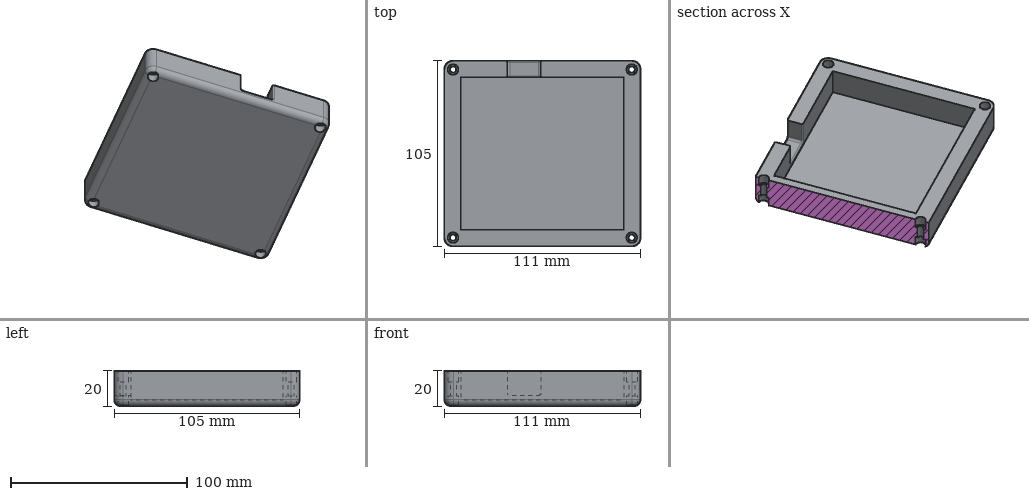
import cadquery as cq

LENGTH = 111.0
WIDTH = 105.0
HEIGHT = 20.0
CORNER_RADIUS = 5.0
BOTTOM_RADIUS = 4.0

CAVITY_LENGTH = 92.0
CAVITY_WIDTH = 86.0
FLOOR_THICKNESS = 3.5

NOTCH_WIDTH = 19.0
NOTCH_CENTER_X = -10.4
NOTCH_FLOOR_Z = 6.3
NOTCH_FLOOR_RADIUS = 1.3
NOTCH_EDGE_RADIUS = 0.9

SELECTION_MARGIN = 0.1

NECK_DIAMETER = 3.4
RECESS_DIAMETER = 6.0
RECESS_DEPTH = 6.0


def make_body():
    body = cq.Workplane("XY").box(LENGTH, WIDTH, HEIGHT, centered=(True, True, False))
    body = body.edges("|Z").fillet(CORNER_RADIUS)
    return body.faces("<Z").edges().fillet(BOTTOM_RADIUS)


def make_cavity():
    depth = HEIGHT - FLOOR_THICKNESS
    cavity = cq.Workplane("XY").box(CAVITY_LENGTH, CAVITY_WIDTH, depth, centered=(True, True, False))
    return cavity.translate((0, 0, FLOOR_THICKNESS))


def make_notch():
    wall_thickness = (WIDTH - CAVITY_WIDTH) / 2
    depth = HEIGHT - NOTCH_FLOOR_Z
    notch = cq.Workplane("XY").box(NOTCH_WIDTH, wall_thickness, depth, centered=(True, True, False))
    notch = notch.edges("|Y and <Z").fillet(NOTCH_FLOOR_RADIUS)
    return notch.translate((NOTCH_CENTER_X, (WIDTH - wall_thickness) / 2, NOTCH_FLOOR_Z))


def make_screw_holes():
    hole_centers = cq.Workplane("XY").rect(
        LENGTH - 2 * CORNER_RADIUS, WIDTH - 2 * CORNER_RADIUS, forConstruction=True
    ).vertices()
    neck = hole_centers.circle(NECK_DIAMETER / 2).extrude(HEIGHT)
    recess = hole_centers.circle(RECESS_DIAMETER / 2).extrude(RECESS_DEPTH)
    return neck.union(recess).union(recess.translate((0, 0, HEIGHT - RECESS_DEPTH)))


def round_notch_edges(part):
    """Round the edges where the notch meets the outer wall and the cavity wall."""
    half_width = NOTCH_WIDTH / 2 + SELECTION_MARGIN
    for wall_face_y in (WIDTH / 2, CAVITY_WIDTH / 2):
        rim = cq.selectors.BoxSelector(
            (NOTCH_CENTER_X - half_width, wall_face_y - SELECTION_MARGIN, NOTCH_FLOOR_Z - SELECTION_MARGIN),
            (NOTCH_CENTER_X + half_width, wall_face_y + SELECTION_MARGIN, HEIGHT - SELECTION_MARGIN),
        )
        part = part.edges(rim).fillet(NOTCH_EDGE_RADIUS)
    return part


notched_tray = make_body().cut(make_cavity()).cut(make_notch())
result = round_notch_edges(notched_tray).cut(make_screw_holes())